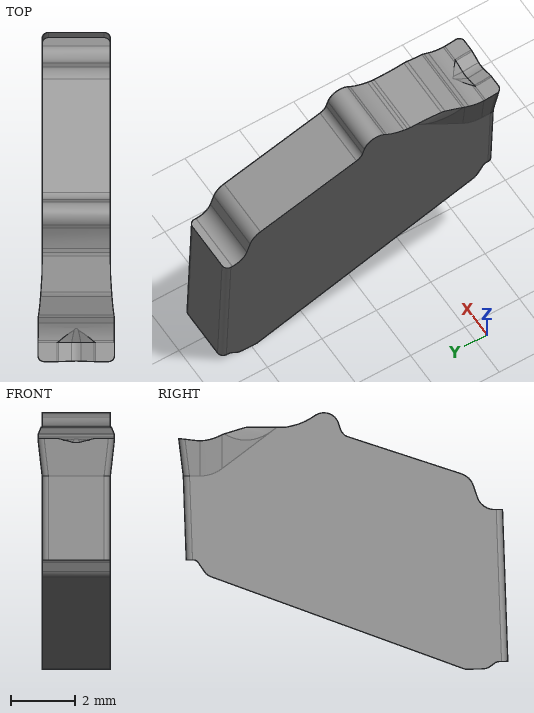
import cadquery as cq
import math

body_half_width = 1.065
head_half_width = 1.198
corner_radius = 0.20

edge_z = 7.19
flank_z = 6.02
front_foot_z = 3.40
back_top_z = 4.98
back_foot_z = 0.25
deck_z = 7.54
land_end_z = 7.12

length = 10.25
land_end_y = 0.60
bowl_y = 0.95
bowl_top_y = 1.41
bowl_top_z = 7.33
deck_front_y = 2.10
wall_front_y = 1.32
flare_end_y = 2.96

relief_angle = 7.0
face_angle = 2.0
seat_angle = 20.0
flank_run_angle = 37.0

relief_foot_y = (edge_z - flank_z) * math.tan(math.radians(relief_angle))
face_slope = math.tan(math.radians(face_angle))
front_foot_y = relief_foot_y + (flank_z - front_foot_z) * face_slope
back_top_y = length - (back_top_z - back_foot_z) * face_slope

seat_back_y = 8.93
seat_front_y = 0.88
seat_front_z = (seat_back_y - seat_front_y) * math.tan(math.radians(seat_angle))

front_notch_y = 0.56
back_foot = (9.60, 0.02)
back_foot_step = (9.90, 0.24)
back_ledge_y = 9.43
shoulder = (9.08, 6.00)
bump_foot = (5.10, 7.30)
bump_peak = (4.78, 8.255)
bump_hollow = (3.87, 7.655)
deck_back_y = 3.34

SIDE_CORNERS = [
    (0, edge_z, 0),
    (relief_foot_y, flank_z, 0),
    (front_foot_y, front_foot_z, 0),
    (front_notch_y, front_foot_z, 0.15),
    (seat_front_y, seat_front_z, 0.45),
    (seat_back_y, 0, 0.30),
    (*back_foot, 0.40),
    (*back_foot_step, 0.25),
    (length, back_foot_z, 0),
    (back_top_y, back_top_z, 0),
    (back_ledge_y, back_top_z, 0.56),
    (*shoulder, 0.60),
    (*bump_foot, 0.35),
    (*bump_peak, 0.48),
    (*bump_hollow, 1.90),
    (deck_back_y, deck_z, 0.50),
    (deck_front_y, deck_z, 0.45),
    (bowl_top_y, bowl_top_z, 0.60),
    (bowl_y, land_end_z, 1.33),
    (land_end_y, land_end_z, 0),
]

flank_corner_y = 1.05
flank_corner_radius = 1.15
clear_z = 9.0
pick_margin = 0.02
clear_y = 1.0

gully_half_width = 0.57
gully_depth = 0.15
gully_floor_radius = 0.56
gully_lip_radius = 0.20
fade_end_y = 1.30
fade_end_z = 7.29
fade_depth = 0.005
gully_top = 0.40


def rounded_outline(plane, corners):
    """Closed wire through sharp corners (u, v, radius), each rounded by a tangent arc."""
    stops = []
    count = len(corners)
    for i, (u, v, radius) in enumerate(corners):
        here = cq.Vector(u, v)
        back = (cq.Vector(*corners[i - 1][:2]) - here).normalized()
        ahead = (cq.Vector(*corners[(i + 1) % count][:2]) - here).normalized()
        half_angle = back.getAngle(ahead) / 2
        setback = radius / math.tan(half_angle)
        middle = here + (back + ahead).normalized() * (radius / math.sin(half_angle) - radius)
        stops.append((here + back * setback, middle, here + ahead * setback, radius))

    outline = plane.moveTo(*stops[0][2].toTuple()[:2])
    for start, middle, end, radius in stops[1:]:
        outline = outline.lineTo(*start.toTuple()[:2])
        if radius > 0:
            outline = outline.threePointArc(middle.toTuple()[:2], end.toTuple()[:2])
    return outline.close()


def side_blank(half_width):
    """The side outline as a plate of the given half width."""
    return rounded_outline(cq.Workplane("YZ"), SIDE_CORNERS).extrude(half_width, both=True)


def slanted_prism(outline, direction):
    """Sweep an outline straight along a slanted direction."""
    face = cq.Face.makeFromWires(outline.wire().val())
    return cq.Workplane(cq.Solid.extrudeLinear(face, cq.Vector(*direction)))


def head_zone(x_start):
    """Outline of everything above the flank boundary, drawn on the plane X = x_start."""
    run_end_y = flank_corner_y + (clear_z - flank_z) / math.tan(math.radians(flank_run_angle))
    corners = [
        (-clear_y, clear_z, 0),
        (-clear_y, flank_z, 0),
        (flank_corner_y, flank_z, flank_corner_radius),
        (run_end_y, clear_z, 0),
    ]
    return rounded_outline(cq.Workplane("YZ", origin=(x_start, 0, 0)), corners)


def round_uprights(solid, y_range, z_range):
    """Round the corner edges that rise at the front or back, with their middles in the ranges."""
    low = (-2 * head_half_width, y_range[0] - pick_margin, z_range[0] + pick_margin)
    high = (2 * head_half_width, y_range[1] + pick_margin, z_range[1] - pick_margin)
    return solid.edges(cq.selectors.BoxSelector(low, high)).edges("not |X").fillet(corner_radius)


def make_body():
    """Plate below the cutting head, with rounded front and back corners."""
    body = side_blank(body_half_width).cut(head_zone(0).extrude(2 * body_half_width, both=True))
    body = round_uprights(body, (relief_foot_y, front_foot_y), (front_foot_z, flank_z))
    return round_uprights(body, (back_top_y, length), (back_foot_z, back_top_z))


def make_head():
    """Cutting head: the region above the flank boundary, widening steadily with height."""
    rise = edge_z - flank_z
    spread = head_half_width - body_half_width
    envelope = head_zone(0).extrude(body_half_width, both=True)
    for side in (-1, 1):
        flank = head_zone(side * body_half_width)
        envelope = envelope.union(slanted_prism(flank, (side * 2 * spread, 0, 2 * rise)))
    head = envelope.intersect(side_blank(2 * head_half_width))

    wall_radius = (flare_end_y - wall_front_y) ** 2 / (2 * spread)
    for side in (-1, 1):
        centre_x = side * (body_half_width + wall_radius)
        wall = (cq.Workplane("XY", origin=(centre_x, flare_end_y, 0))
                .circle(wall_radius).extrude(clear_z))
        head = head.cut(wall)

    return round_uprights(head, (0, relief_foot_y), (flank_z, edge_z))


def gully_section(y, z, depth):
    """Cross-section of the gully at one station: a wide V with rounded lips and floor."""
    corners = [
        (-2 * gully_half_width, gully_top, 0),
        (-2 * gully_half_width, 0, 0),
        (-gully_half_width, 0, gully_lip_radius),
        (0, -depth, gully_floor_radius),
        (gully_half_width, 0, gully_lip_radius),
        (2 * gully_half_width, 0, 0),
        (2 * gully_half_width, gully_top, 0),
    ]
    return rounded_outline(cq.Workplane("XZ", origin=(0, y, z)), corners)


def make_gully():
    """Shallow V along the land, fading out up the chip former."""
    at_land_end = gully_section(land_end_y, land_end_z, gully_depth)
    along_land = slanted_prism(at_land_end, (0, -land_end_y, edge_z - land_end_z))
    at_fade_end = gully_section(fade_end_y, fade_end_z, fade_depth)
    fade = cq.Solid.makeLoft([at_land_end.val(), at_fade_end.val()], True)
    return along_land.union(cq.Workplane(fade))


result = make_body().union(make_head()).cut(make_gully())